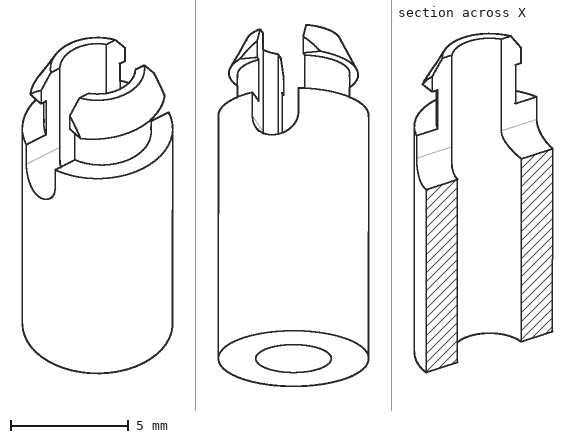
import cadquery as cq
import math

total_height = 14.5
body_diameter = 6.4
body_height = 11.1
bore_diameter = 3.2

slot_width = 2.02
slot_bottom = 9.0

neck_radius = 2.1
neck_reach = 2.39
neck_shift = neck_reach - neck_radius

barb_base = 13.0
barb_height = total_height - barb_base
barb_radius = 3.09
barb_reach = 2.74
barb_shift = barb_reach - barb_radius
barb_width = 4.5
tip_radius = 2.0


def half_disc(plane, radius, shift):
    """Close the +X part of a circle, centred at X = shift, along the YZ plane."""
    end_y = math.sqrt(radius**2 - shift**2)
    return (
        plane.moveTo(0, -end_y)
        .threePointArc((shift + radius, 0), (0, end_y))
        .close()
    )


def make_neck():
    base = cq.Workplane("XY").workplane(offset=body_height)
    return half_disc(base, neck_radius, neck_shift).extrude(barb_base - body_height)


def make_barb():
    base = cq.Workplane("XY").workplane(offset=barb_base)
    base_outline = half_disc(base, barb_radius, barb_shift)
    barb = half_disc(base_outline.workplane(offset=barb_height), tip_radius, 0).loft(ruled=True)
    side_limits = base.rect(body_diameter, barb_width).extrude(barb_height)
    return barb.intersect(side_limits)


def make_slot():
    slot_radius = slot_width / 2
    round_center = slot_bottom + slot_radius
    return (
        cq.Workplane("XZ")
        .moveTo(-slot_radius, total_height)
        .lineTo(-slot_radius, round_center)
        .threePointArc((0, slot_bottom), (slot_radius, round_center))
        .lineTo(slot_radius, total_height)
        .close()
        .extrude(body_diameter, both=True)
    )


body = cq.Workplane("XY").circle(body_diameter / 2).extrude(body_height)
arm = make_neck().union(make_barb())
opposite_arm = arm.mirror("YZ")
bore = cq.Workplane("XY").circle(bore_diameter / 2).extrude(total_height)

result = body.union(arm).union(opposite_arm).cut(bore).cut(make_slot())